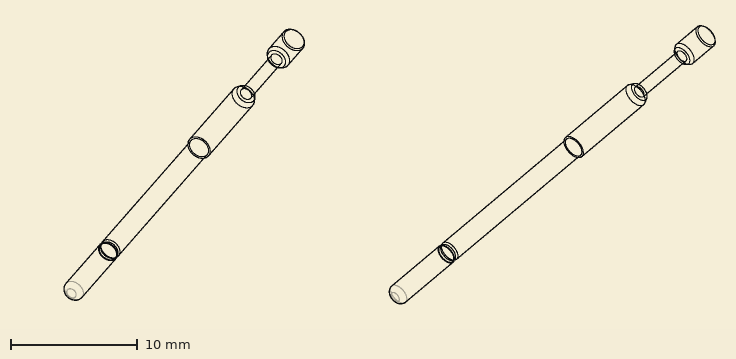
import cadquery as cq

total_length = 38.3
sleeve_radius = 1.0
head_radius = sleeve_radius
barrel_radius = 0.85
plunger_radius = 0.5

tail_round = 0.42
groove_start = 6.3
groove_width = 0.42
groove_depth = 0.08
groove_flat_width = 0.23

sleeve_start = 21.95
sleeve_end = 30.03
sleeve_taper_length = 0.45
head_length = 3.03
head_taper_length = 0.3
shoulder_taper_depth = 0.2
head_top_chamfer = 0.1


def cylinder(radius, start, end):
    """Round bar along +Y between two stations."""
    return cq.Workplane("XZ", origin=(0, start, 0)).circle(radius).extrude(start - end)


def make_barrel():
    """Barrel with a rounded tail and a shallow ring groove, square at the tail side and sloped above."""
    barrel = cylinder(barrel_radius, 0, sleeve_start).faces("<Y").edges().fillet(tail_round)
    floor_radius = barrel_radius - groove_depth
    groove_end = groove_start + groove_width
    groove = (
        cq.Workplane("XY")
        .moveTo(floor_radius, groove_start)
        .lineTo(floor_radius, groove_start + groove_flat_width)
        .lineTo(barrel_radius, groove_end)
        .lineTo(barrel_radius, groove_start)
        .close()
        .revolve(360, (0, 0, 0), (0, 1, 0))
    )
    return barrel.cut(groove)


def make_sleeve():
    """Thicker sleeve, tapered where the plunger leaves it."""
    sleeve = cylinder(sleeve_radius, sleeve_start, sleeve_end)
    return sleeve.faces(">Y").chamfer(sleeve_taper_length, shoulder_taper_depth)


def make_head():
    """Flat head with a tapered shoulder and a small chamfer on its contact face."""
    head = cylinder(head_radius, total_length - head_length, total_length)
    head = head.faces("<Y").chamfer(head_taper_length, shoulder_taper_depth)
    return head.faces(">Y").chamfer(head_top_chamfer)


plunger = cylinder(plunger_radius, sleeve_end, total_length - head_length)
result = make_barrel().union(make_sleeve()).union(plunger).union(make_head())